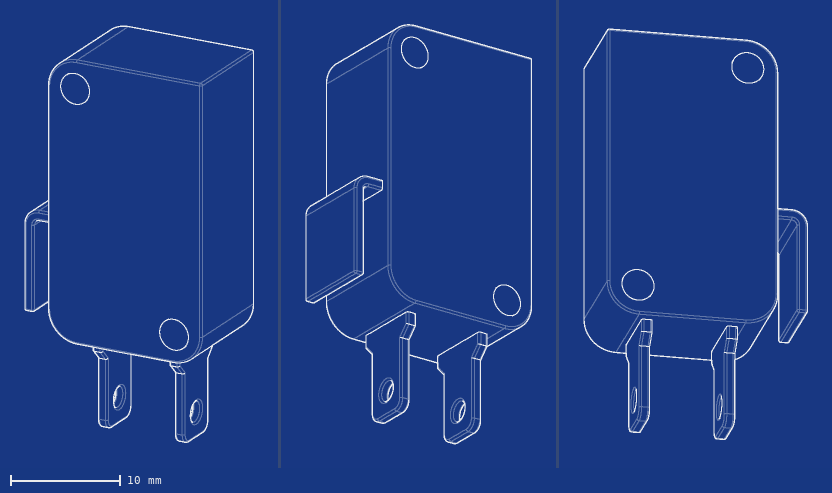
import cadquery as cq

overall_height = 37.0
edge_radius = 0.2
sheet_thickness = 1.0

case_width = 16.0
case_depth = 10.2
case_height = 27.8
corner_radius = 3.0
mount_hole_diameter = 3.0
mount_hole_spacing_x = 10.3
mount_hole_spacing_z = 22.2

tab_reach = 3.05
tab_width = 8.05
tab_length = 10.03
tab_top = 11.9
tab_bend_radius = 1.5

terminal_length = overall_height - case_height
terminal_spacing = case_width / 2
shoulder_width = 6.77
shoulder_length = 1.22
blade_width = 4.75
blade_corner_radius = 1.0
blade_hole_diameter = 2.0
blade_hole_to_tip = 2.5
terminal_offset_y = 0.4

embed = 0.55


def make_case():
    """Rounded block with one square corner (top, +X) and two holes at opposite corners."""
    body = (
        cq.Workplane("XY")
        .box(case_width, case_depth, case_height)
        .edges("|Y and (<X or <Z)")
        .fillet(corner_radius)
    )
    square_corner = "|Y and >X and >Z"
    body = body.edges(f"(#Y) or ({square_corner})").fillet(edge_radius)

    hole_x = mount_hole_spacing_x / 2
    hole_z = mount_hole_spacing_z / 2
    holes = (
        cq.Workplane("XZ", origin=(0, case_depth / 2, 0))
        .pushPoints([(-hole_x, hole_z), (hole_x, -hole_z)])
        .circle(mount_hole_diameter / 2)
        .extrude(case_depth)
    )
    return body.cut(holes).translate((case_width / 2, 0, case_height / 2))


def make_tab():
    """Bent strip that leaves the case in -X and turns down."""
    inner_bend_radius = tab_bend_radius - sheet_thickness
    tab_bottom = tab_top - tab_length
    outer_x = -tab_reach
    inner_x = outer_x + sheet_thickness
    bend_x = outer_x + tab_bend_radius
    bend_z = tab_top - tab_bend_radius
    underside = tab_top - sheet_thickness
    strip = (
        cq.Workplane("XZ", origin=(0, tab_width / 2, 0))
        .moveTo(embed, tab_top)
        .lineTo(bend_x, tab_top)
        .radiusArc((outer_x, bend_z), -tab_bend_radius)
        .lineTo(outer_x, tab_bottom)
        .lineTo(inner_x, tab_bottom)
        .lineTo(inner_x, bend_z)
        .radiusArc((bend_x, underside), inner_bend_radius)
        .lineTo(embed, underside)
        .close()
        .extrude(tab_width)
    )
    long_edges = strip.faces("<Y or >Y").edges("not >X")
    end_edges = strip.faces("<Z").edges("|Y")
    return strip.newObject(long_edges.vals() + end_edges.vals()).fillet(edge_radius)


def make_terminal(center_x):
    """Flat blade with sloped shoulders, a rounded tip and a hole with rounded rims."""
    half_shoulder = shoulder_width / 2
    half_blade = blade_width / 2
    slope = half_shoulder - half_blade
    slope_end = -shoulder_length - slope
    outline = [
        (-half_shoulder, embed),
        (-half_shoulder, -shoulder_length),
        (-half_blade, slope_end),
        (-half_blade, -terminal_length),
        (half_blade, -terminal_length),
        (half_blade, slope_end),
        (half_shoulder, -shoulder_length),
        (half_shoulder, embed),
    ]
    blade = (
        cq.Workplane("YZ", origin=(-sheet_thickness / 2, 0, 0))
        .polyline(outline)
        .close()
        .extrude(sheet_thickness)
        .faces("<Z")
        .edges("|X")
        .fillet(blade_corner_radius)
    )
    hole = (
        cq.Workplane("YZ", origin=(-sheet_thickness / 2, 0, 0))
        .center(0, blade_hole_to_tip - terminal_length)
        .circle(blade_hole_diameter / 2)
        .extrude(sheet_thickness)
    )
    blade = blade.faces("<X or >X").edges("not >Z").fillet(edge_radius)
    blade = blade.cut(hole)
    hole_rim = cq.selectors.RadiusNthSelector(-1)
    blade = blade.faces("<X or >X").edges(hole_rim).fillet(edge_radius)
    return blade.translate((center_x, terminal_offset_y, 0))


result = make_case().union(make_tab())
for side in (-1, 1):
    result = result.union(make_terminal(case_width / 2 + side * terminal_spacing / 2))